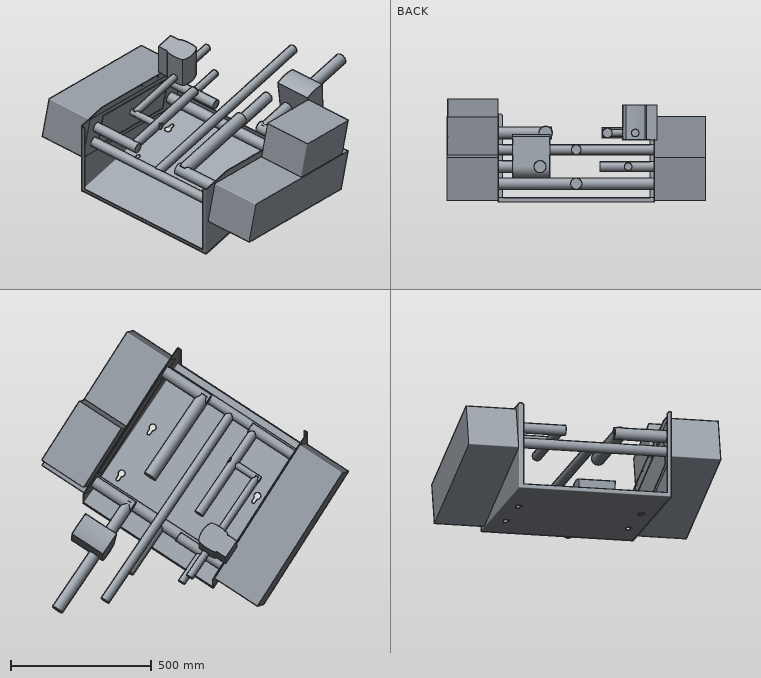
import cadquery as cq
import math

TOTAL_WIDTH = 922.0

TRAY_WIDTH = 557.0
TRAY_DEPTH = 610.0
TRAY_HEIGHT = 315.0
SHEET = 2.0
BEND_RADIUS = 3.0
FLANGE = 16.0
FLANGE_CLIP = 6.0
FLAT_TOP_DEPTH = 125.0
TILT = 15.0
REAR_CLIP_DEPTH = 5.0
REAR_CLIP_HEIGHT = 15.0
HALF_TRAY = TRAY_WIDTH / 2
PANEL_INSIDE = HALF_TRAY - SHEET

KEYHOLE_X = 224.0
KEYHOLE_Y = (243.0, 443.0)
KEYHOLE_DIAMETER = 24.0
KEY_SLOT_WIDTH = 12.0
KEY_SLOT_REACH = 31.0

PIN_HOLE_DIAMETER = 3.6
PIN_HOLE_Y = (359.0, 455.0, 551.0)
PIN_HOLE_DROP = 9.0

BOX_FRONT_Y = 53.0
BOX_FRONT_Z = 307.0
BOX_LENGTH = 567.0
BOX_HEIGHT = 160.0
BOX_EDGE_RADIUS = 3.0
OPENING_LENGTH = 400.0
OPENING_HEIGHT = 126.0
TOP_BOX_START = 284.0
TOP_BOX_LENGTH = 252.0
TOP_BOX_HEIGHT = 140.0
TOP_BOX_INSET = 3.0

TOP_LEVEL = 247.0
UPPER_LEVEL = 187.0
LOWER_LEVEL = 127.0
BOTTOM_LEVEL = 66.0

FRONT_TEE_Y = 72.0
FRONT_TEE_BAR = 36.0
FRONT_TEE_ROD = 34.0
FRONT_TEE_END = 888.0

REAR_TEE_Y = 525.0
REAR_TEE_BAR = 42.0
REAR_TEE_ROD = 40.0
REAR_TEE_END = 737.0

FRONT_ARM_Y = 88.0
REAR_ARM_Y = 541.0

LEFT_FRONT_BAR = 37.0
LEFT_FRONT_BAR_END = -91.0
LEFT_FRONT_ROD = 34.0
LEFT_FRONT_ROD_X = -111.0
LEFT_FRONT_ROD_END = 450.0
LINK_Y = 228.0
LINK_DIAMETER = 25.0
LINK_START, LINK_END = -224.0, -93.0
GRIP_ROD = 27.0
GRIP_ROD_X = -210.0
GRIP_ROD_END = 659.0
GRIP_ROD_OVERRUN = 4.0

LEFT_REAR_BAR = 36.0
LEFT_REAR_BAR_END = -84.0
LEFT_REAR_ROD = 27.0
LEFT_REAR_ROD_X = -185.0
LEFT_REAR_ROD_END = 673.0

RIGHT_FRONT_BAR = 43.0
RIGHT_FRONT_BAR_END = 88.0
RIGHT_FRONT_ROD = 48.0
RIGHT_FRONT_ROD_X = 109.0
RIGHT_FRONT_ROD_END = 434.0
RIGHT_FRONT_OVERRUN = 4.0

RIGHT_REAR_BAR = 43.0
RIGHT_REAR_BAR_END = 110.0
RIGHT_REAR_ROD = 43.0
RIGHT_REAR_ROD_X = 129.0
RIGHT_REAR_ROD_END = 1000.0
RIGHT_REAR_OVERRUN = 6.0

GRIP_Y = 508.0
GRIP_BOTTOM, GRIP_TOP = 222.0, 347.0
GRIP_LEFT, GRIP_RIGHT = -288.0, -165.0
GRIP_TAIL_END = -250.0
GRIP_FLANK_LEFT, GRIP_FLANK_RIGHT = -245.0, -177.0
GRIP_NOSE_START = -173.0
GRIP_NOSE_CROWN = -167.0
GRIP_NECK_HALF_WIDTH = 36.0
GRIP_BULGE_HALF_WIDTH = 41.0
GRIP_HALF_WIDTH = 45.0

HEAD_LEFT, HEAD_RIGHT = 94.0, 227.0
HEAD_TOP, HEAD_BOTTOM = 242.0, 86.0
HEAD_SHOULDER_Z = 235.0
HEAD_CHIN_Z = 126.0
HEAD_SHOULDERS_Y = (671.0, 759.0)
HEAD_CHIN_Y = (684.0, 762.0)


def bent_block(width, y_front, y_rear, height, radius):
    """Block with its floor edges and its upright front edges rounded."""
    block = (
        cq.Workplane("XY")
        .box(width, y_rear - y_front, height, centered=(True, False, False))
        .translate((0, y_front, 0))
    )
    return block.edges("<Z or (|Z and <Y)").fillet(radius)


def slope_height(y):
    """Height of the side panel's sloping edge at depth y."""
    return TRAY_HEIGHT - (y - FLAT_TOP_DEPTH) * math.tan(math.radians(TILT))


def make_tray():
    outside = bent_block(TRAY_WIDTH, 0, TRAY_DEPTH, TRAY_HEIGHT, BEND_RADIUS)
    inside = bent_block(
        2 * PANEL_INSIDE, SHEET, TRAY_DEPTH - SHEET, TRAY_HEIGHT, BEND_RADIUS - SHEET
    ).translate((0, 0, SHEET))

    half_window = HALF_TRAY - FLANGE
    clip_bottom = TRAY_HEIGHT - FLANGE_CLIP
    front_window = (
        cq.Workplane("XZ")
        .polyline([
            (-half_window, FLANGE),
            (half_window, FLANGE),
            (half_window, clip_bottom),
            (half_window + FLANGE_CLIP, TRAY_HEIGHT),
            (-half_window - FLANGE_CLIP, TRAY_HEIGHT),
            (-half_window, clip_bottom),
        ])
        .close()
        .extrude(-TRAY_DEPTH / 2)
    )
    rear_window = (
        cq.Workplane("XY", origin=(0, TRAY_DEPTH, FLANGE))
        .rect(2 * PANEL_INSIDE, TRAY_DEPTH)
        .extrude(TRAY_HEIGHT)
    )

    clip_y = TRAY_DEPTH - REAR_CLIP_DEPTH
    side_outline = (
        cq.Workplane("YZ")
        .polyline([
            (0, 0),
            (TRAY_DEPTH, 0),
            (TRAY_DEPTH, slope_height(clip_y) - REAR_CLIP_HEIGHT),
            (clip_y, slope_height(clip_y)),
            (FLAT_TOP_DEPTH, TRAY_HEIGHT),
            (0, TRAY_HEIGHT),
        ])
        .close()
        .extrude(HALF_TRAY, both=True)
    )
    return outside.cut(inside).cut(front_window).cut(rear_window).intersect(side_outline)


def keyhole(x, y):
    slot_radius = KEY_SLOT_WIDTH / 2
    slot_length = KEY_SLOT_REACH + slot_radius
    round_hole = cq.Workplane("XY").center(x, y).circle(KEYHOLE_DIAMETER / 2).extrude(SHEET)
    slot = (
        cq.Workplane("XY")
        .center(x, y + KEY_SLOT_REACH - slot_length / 2)
        .slot2D(slot_length, KEY_SLOT_WIDTH, 90)
        .extrude(SHEET)
    )
    return round_hole.union(slot)


def pin_holes():
    centres = [(y, slope_height(y) - PIN_HOLE_DROP) for y in PIN_HOLE_Y]
    return (
        cq.Workplane("YZ")
        .pushPoints(centres)
        .circle(PIN_HOLE_DIAMETER / 2)
        .extrude(HALF_TRAY, both=True)
    )


def tilted_block(inner_x, outer_x, start, length, bottom, height):
    """Block on the right side; start runs back along the slope, bottom is square to it."""
    angle = math.radians(TILT)
    plane = cq.Plane(
        origin=(inner_x, BOX_FRONT_Y, BOX_FRONT_Z),
        xDir=(0, math.cos(angle), -math.sin(angle)),
        normal=(1, 0, 0),
    )
    return (
        cq.Workplane(plane)
        .center(start + length / 2, bottom + height / 2)
        .rect(length, height)
        .extrude(outer_x - inner_x)
    )


def make_main_box():
    box = tilted_block(HALF_TRAY, TOTAL_WIDTH / 2, 0, BOX_LENGTH, -BOX_HEIGHT, BOX_HEIGHT)
    front_edges = box.faces("<Y").edges("|X")
    return front_edges.fillet(BOX_EDGE_RADIUS)


def make_top_box():
    outer_x = TOTAL_WIDTH / 2 - TOP_BOX_INSET
    box = tilted_block(HALF_TRAY, outer_x, TOP_BOX_START, TOP_BOX_LENGTH, 0, TOP_BOX_HEIGHT)
    angle = math.radians(TILT)
    upright_edges = cq.selectors.ParallelDirSelector(cq.Vector(0, math.sin(angle), math.cos(angle)))
    return box.edges(upright_edges).fillet(BOX_EDGE_RADIUS)


def panel_opening():
    start = (BOX_LENGTH - OPENING_LENGTH) / 2
    bottom = -(BOX_HEIGHT + OPENING_HEIGHT) / 2
    return tilted_block(PANEL_INSIDE, HALF_TRAY, start, OPENING_LENGTH, bottom, OPENING_HEIGHT)


def make_housing():
    housing = make_tray().cut(pin_holes())
    for x in (-KEYHOLE_X, KEYHOLE_X):
        for y in KEYHOLE_Y:
            housing = housing.cut(keyhole(x, y))
    right_opening = panel_opening()
    right_box = make_main_box()
    housing = housing.cut(right_opening).cut(right_opening.mirror("YZ"))
    return housing.union(right_box).union(right_box.mirror("YZ")).union(make_top_box())


def cross_bar(diameter, x_start, x_end, y, z):
    """Round bar along X."""
    return cq.Workplane("YZ", origin=(x_start, y, z)).circle(diameter / 2).extrude(x_end - x_start)


def rod(diameter, x, y_start, y_end, z):
    """Round rod along Y."""
    return cq.Workplane("XZ", origin=(x, y_start, z)).circle(diameter / 2).extrude(y_start - y_end)


def make_tee(bar_diameter, rod_diameter, y, rod_end, z):
    """Bar from panel to panel with a rod that runs back from its middle."""
    bar = cross_bar(bar_diameter, -PANEL_INSIDE, PANEL_INSIDE, y, z)
    return bar.union(rod(rod_diameter, 0, y, rod_end, z))


def make_grip():
    flank_middle = (GRIP_FLANK_LEFT + GRIP_FLANK_RIGHT) / 2
    half_outline = (
        cq.Workplane("XY", origin=(0, GRIP_Y, GRIP_BOTTOM))
        .moveTo(GRIP_LEFT, 0)
        .lineTo(GRIP_LEFT, GRIP_NECK_HALF_WIDTH)
        .lineTo(GRIP_TAIL_END, GRIP_NECK_HALF_WIDTH)
        .lineTo(GRIP_FLANK_LEFT, GRIP_BULGE_HALF_WIDTH)
        .threePointArc((flank_middle, GRIP_HALF_WIDTH), (GRIP_FLANK_RIGHT, GRIP_BULGE_HALF_WIDTH))
        .lineTo(GRIP_NOSE_START, GRIP_NECK_HALF_WIDTH)
        .threePointArc((GRIP_NOSE_CROWN, GRIP_NECK_HALF_WIDTH / 2), (GRIP_RIGHT, 0))
        .close()
    )
    half = half_outline.extrude(GRIP_TOP - GRIP_BOTTOM)
    return half.union(half.mirror("XZ", (0, GRIP_Y, 0))).clean()


def make_head():
    shoulder_front, shoulder_rear = HEAD_SHOULDERS_Y
    chin_front, chin_rear = HEAD_CHIN_Y
    outline = (
        cq.Workplane("YZ", origin=(HEAD_LEFT, 0, 0))
        .moveTo(shoulder_front, HEAD_SHOULDER_Z)
        .threePointArc(
            ((shoulder_front + shoulder_rear) / 2, HEAD_TOP), (shoulder_rear, HEAD_SHOULDER_Z)
        )
        .lineTo(chin_rear, HEAD_CHIN_Z)
        .threePointArc(((chin_front + chin_rear) / 2, HEAD_BOTTOM), (chin_front, HEAD_CHIN_Z))
        .close()
    )
    return outline.extrude(HEAD_RIGHT - HEAD_LEFT)


def make_left_front_arm():
    z = TOP_LEVEL
    bar = cross_bar(LEFT_FRONT_BAR, -PANEL_INSIDE, LEFT_FRONT_BAR_END, FRONT_ARM_Y, z)
    main_rod = rod(LEFT_FRONT_ROD, LEFT_FRONT_ROD_X, FRONT_ARM_Y, LEFT_FRONT_ROD_END, z)
    link = cross_bar(LINK_DIAMETER, LINK_START, LINK_END, LINK_Y, z)
    grip_rod = rod(GRIP_ROD, GRIP_ROD_X, LINK_Y - GRIP_ROD_OVERRUN, GRIP_ROD_END, z)
    return bar.union(main_rod).union(link).union(grip_rod).union(make_grip())


def make_left_rear_arm():
    z = LOWER_LEVEL
    bar = cross_bar(LEFT_REAR_BAR, -PANEL_INSIDE, LEFT_REAR_BAR_END, REAR_ARM_Y, z)
    return bar.union(rod(LEFT_REAR_ROD, LEFT_REAR_ROD_X, REAR_ARM_Y, LEFT_REAR_ROD_END, z))


def make_right_front_arm():
    z = TOP_LEVEL
    bar = cross_bar(RIGHT_FRONT_BAR, RIGHT_FRONT_BAR_END, PANEL_INSIDE, FRONT_ARM_Y, z)
    rod_start = FRONT_ARM_Y - RIGHT_FRONT_OVERRUN
    return bar.union(rod(RIGHT_FRONT_ROD, RIGHT_FRONT_ROD_X, rod_start, RIGHT_FRONT_ROD_END, z))


def make_right_rear_arm():
    z = LOWER_LEVEL
    bar = cross_bar(RIGHT_REAR_BAR, RIGHT_REAR_BAR_END, PANEL_INSIDE, REAR_ARM_Y, z)
    rod_start = REAR_ARM_Y - RIGHT_REAR_OVERRUN
    long_rod = rod(RIGHT_REAR_ROD, RIGHT_REAR_ROD_X, rod_start, RIGHT_REAR_ROD_END, z)
    return bar.union(long_rod).union(make_head())


housing = make_housing()
front_tee = make_tee(FRONT_TEE_BAR, FRONT_TEE_ROD, FRONT_TEE_Y, FRONT_TEE_END, UPPER_LEVEL)
rear_tee = make_tee(REAR_TEE_BAR, REAR_TEE_ROD, REAR_TEE_Y, REAR_TEE_END, BOTTOM_LEVEL)
left_front_arm = make_left_front_arm()
left_rear_arm = make_left_rear_arm()
right_front_arm = make_right_front_arm()
right_rear_arm = make_right_rear_arm()

result = cq.Compound.makeCompound([
    housing.val(),
    front_tee.val(),
    rear_tee.val(),
    left_front_arm.val(),
    left_rear_arm.val(),
    right_front_arm.val(),
    right_rear_arm.val(),
])